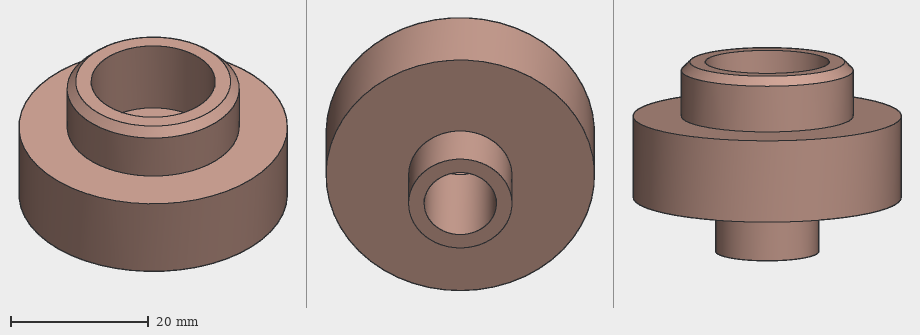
import cadquery as cq

flange_diameter = 39.0
flange_height = 12.0
collar_diameter = 25.0
collar_height = 8.0
collar_chamfer = 1.25
spigot_diameter = 15.0
spigot_height = 8.0
bore_diameter = 18.0
bore_depth = 11.0
hole_diameter = 10.5

flange_top = spigot_height + flange_height
total_height = flange_top + collar_height


def cylinder(diameter, bottom, height):
    """Solid cylinder on the Z axis, rising from the given level."""
    return cq.Workplane("XY").workplane(offset=bottom).circle(diameter / 2).extrude(height)


spigot = cylinder(spigot_diameter, 0, spigot_height)
flange = cylinder(flange_diameter, spigot_height, flange_height)
collar = cylinder(collar_diameter, flange_top, collar_height)
collar = collar.faces(">Z").edges().chamfer(collar_chamfer)
body = spigot.union(flange).union(collar)

bore = cylinder(bore_diameter, total_height - bore_depth, bore_depth)
hole = cylinder(hole_diameter, 0, total_height)

result = body.cut(bore).cut(hole)